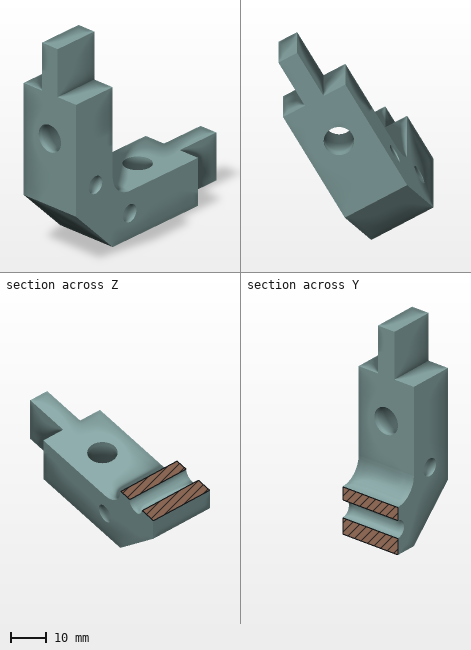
import cadquery as cq

width = 20.0
leg_length = 65.0
leg_thickness = 15.0
inner_radius = 7.0
corner_chamfer = 15.0

tongue_length = 15.0
tongue_width = 6.0

leg_hole_diameter = 8.5
leg_hole_distance = 36.0

cross_hole_diameter = 5.5
cross_hole_near = 8.0
cross_hole_far = 22.0

shoulder = leg_length - tongue_length
shoulder_depth = (width - tongue_width) / 2


def box_between(low, high):
    """Axis-aligned box spanning two opposite corners."""
    size = [b - a for a, b in zip(low, high)]
    return cq.Workplane("XY").box(*size, centered=False).translate(low)


def cylinder(diameter, length, base, direction):
    """Solid cylinder starting at base and running along direction."""
    return cq.Workplane(
        cq.Solid.makeCylinder(diameter / 2, length, cq.Vector(*base), cq.Vector(*direction))
    )


def make_angle_body():
    """L-shaped profile in the YZ plane, extruded symmetrically along X."""
    fillet_end = leg_thickness + inner_radius
    arc_inset = inner_radius * (1 - 0.5**0.5)
    arc_middle = leg_thickness + arc_inset
    return (
        cq.Workplane("YZ")
        .moveTo(corner_chamfer, 0)
        .lineTo(leg_length, 0)
        .lineTo(leg_length, leg_thickness)
        .lineTo(fillet_end, leg_thickness)
        .threePointArc((arc_middle, arc_middle), (leg_thickness, fillet_end))
        .lineTo(leg_thickness, leg_length)
        .lineTo(0, leg_length)
        .lineTo(0, corner_chamfer)
        .close()
        .extrude(width / 2, both=True)
    )


def cut_tongues(body):
    """Remove both sides of each leg end, leaving a central tongue."""
    for x_low in (-width / 2, tongue_width / 2):
        x_high = x_low + shoulder_depth
        body = body.cut(box_between((x_low, shoulder, 0), (x_high, leg_length, leg_thickness)))
        body = body.cut(box_between((x_low, 0, shoulder), (x_high, leg_thickness, leg_length)))
    return body


def cut_leg_holes(body):
    """Drill each leg straight through its thickness."""
    along_z = cylinder(leg_hole_diameter, leg_thickness, (0, leg_hole_distance, 0), (0, 0, 1))
    along_y = cylinder(leg_hole_diameter, leg_thickness, (0, 0, leg_hole_distance), (0, 1, 0))
    return body.cut(along_z).cut(along_y)


def cut_cross_holes(body):
    """Drill the two small holes along X through the full width."""
    for y, z in ((cross_hole_near, cross_hole_far), (cross_hole_far, cross_hole_near)):
        body = body.cut(cylinder(cross_hole_diameter, width, (-width / 2, y, z), (1, 0, 0)))
    return body


result = cut_cross_holes(cut_leg_holes(cut_tongues(make_angle_body())))